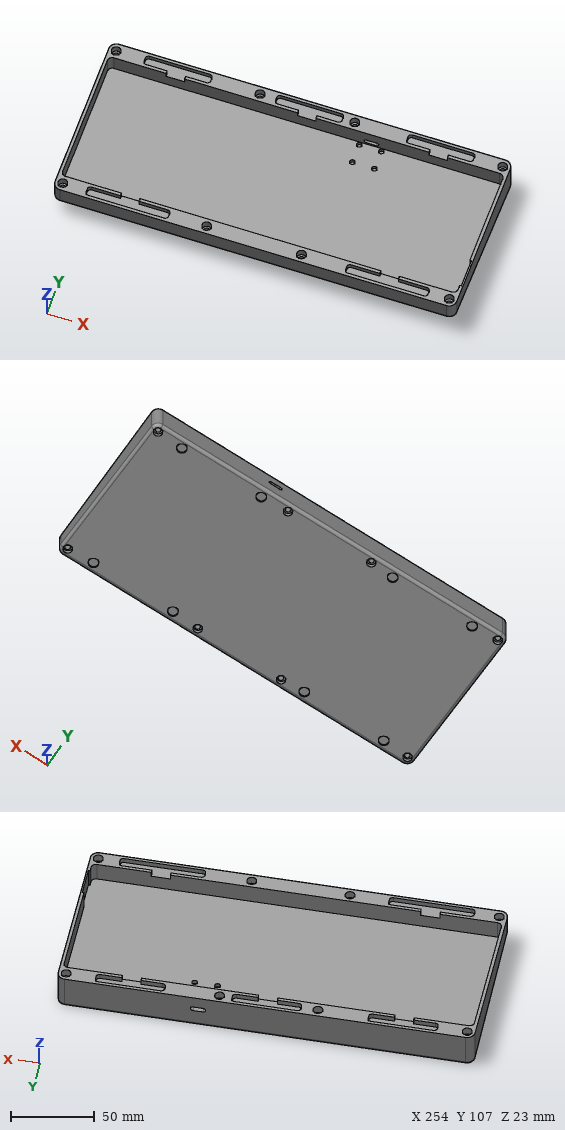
import cadquery as cq
import math

length = 254.0
width = 107.0
height = 23.0
tilt = 5.0
corner_radius = 4.8
bottom_radius = 2.0

cavity_depth = 12.5
cavity_length = 250.0
cavity_width = 87.0
cavity_radius = 3.0
relief_depth = 1.0
relief_front = -37.5
relief_back = -19.3

slot_depth = 3.3
slot_width = 6.0
slot_y = 48.5
slot_radius = 2.0
neck_width = 11.7
back_slot_length = 42.2
back_slot_x = (-83.0, 0.0, 83.0)
front_slot_length = 52.0
front_slot_x = (-81.0, 83.0)

screw_x = (-122.2, -31.2, 28.7, 122.2)
screw_y = 48.5
screw_diameter = 3.3
head_diameter = 5.8
head_depth = 5.0
underside_recess_diameter = 5.5
underside_recess_depth = 3.0

foot_x = (-104.5, -47.2, 47.2, 104.5)
foot_y = 47.5
foot_diameter = 6.4
foot_depth = 1.3

port_x = 41.0
port_length = 9.1
port_height = 3.0
port_sill = 1.5
mount_spacing_x = 14.0
mount_spacing_y = 12.7
mount_back_y = 41.7
mount_diameter = 3.3
mount_depth = 2.5
drill_tip_angle = 118.0

slope = math.tan(math.radians(tilt))
edge_lift = bottom_radius * (slope + 1 / math.cos(math.radians(tilt)) - 1)
back_height = height + edge_lift
front_height = back_height - width * slope
middle_height = (back_height + front_height) / 2


def make_body():
    profile = [
        (-width / 2, 0),
        (width / 2, 0),
        (width / 2, -back_height),
        (-width / 2, -front_height),
    ]
    wedge = cq.Workplane("YZ").polyline(profile).close().extrude(length / 2, both=True)
    return wedge.edges("|Z").fillet(corner_radius).faces("<Z").edges().fillet(bottom_radius)


def make_cavity():
    relief_length = relief_back - relief_front
    cavity = (
        cq.Workplane("XY")
        .rect(cavity_length, cavity_width)
        .extrude(-cavity_depth)
        .edges("|Z")
        .fillet(cavity_radius)
    )
    relief = (
        cq.Workplane("XY")
        .center(cavity_length / 2, (relief_front + relief_back) / 2)
        .rect(2 * relief_depth, relief_length)
        .extrude(-cavity_depth)
    )
    return cavity.union(relief)


def make_slot(x, side, slot_length):
    """Rim slot centred at x; side is +1 on the back rim and -1 on the front rim."""
    slot = (
        cq.Workplane("XY")
        .center(x, side * slot_y)
        .rect(slot_length, slot_width)
        .extrude(-slot_depth)
        .edges("|Z")
        .fillet(slot_radius)
    )
    neck_reach = slot_y - cavity_width / 2
    neck = (
        cq.Workplane("XY")
        .center(x, side * (slot_y - neck_reach / 2))
        .rect(neck_width, neck_reach)
        .extrude(-slot_depth)
    )
    return slot.union(neck)


def underside_recesses(places, diameter, depth):
    """Round recesses of the given depth, square to the tilted underside."""
    underside = cq.Workplane("XY", origin=(0, 0, -middle_height)).transformed(rotate=(-tilt, 0, 0))
    return underside.pushPoints(places).circle(diameter / 2).extrude(depth)


def both_rims(x_places, y):
    """Points at every x on the front rim and on the back rim."""
    return [(x, side * y) for x in x_places for side in (-1, 1)]


def make_screw_holes():
    places = both_rims(screw_x, screw_y)
    holes = cq.Workplane("XY").pushPoints(places)
    shafts = holes.circle(screw_diameter / 2).extrude(-back_height)
    heads = holes.circle(head_diameter / 2).extrude(-head_depth)
    recesses = underside_recesses(places, underside_recess_diameter, underside_recess_depth)
    return shafts.union(heads).union(recesses)


def make_foot_recesses():
    return underside_recesses(both_rims(foot_x, foot_y), foot_diameter, foot_depth)


def make_port():
    port_z = -cavity_depth + port_sill + port_height / 2
    return (
        cq.Workplane("XZ", origin=(port_x, cavity_width / 2, port_z))
        .slot2D(port_length, port_height)
        .extrude(-(width - cavity_width) / 2)
    )


def make_mount_holes():
    """Blind drilled holes, each ending in a conical tip."""
    radius = mount_diameter / 2
    tip_length = radius / math.tan(math.radians(drill_tip_angle / 2))
    profile = [(0, 0), (radius, 0), (radius, -mount_depth), (0, -mount_depth - tip_length)]
    drill = cq.Workplane("XZ").polyline(profile).close().revolve(360, (0, 0), (0, 1)).val()
    return (
        cq.Workplane("XY", origin=(port_x, mount_back_y - mount_spacing_y / 2, -cavity_depth))
        .rarray(mount_spacing_x, mount_spacing_y, 2, 2)
        .eachpoint(drill, combine="a")
    )


result = make_body().cut(make_cavity())
for slot_x in back_slot_x:
    result = result.cut(make_slot(slot_x, 1, back_slot_length))
for slot_x in front_slot_x:
    result = result.cut(make_slot(slot_x, -1, front_slot_length))
result = result.cut(make_screw_holes()).cut(make_foot_recesses())
result = result.cut(make_port()).cut(make_mount_holes())